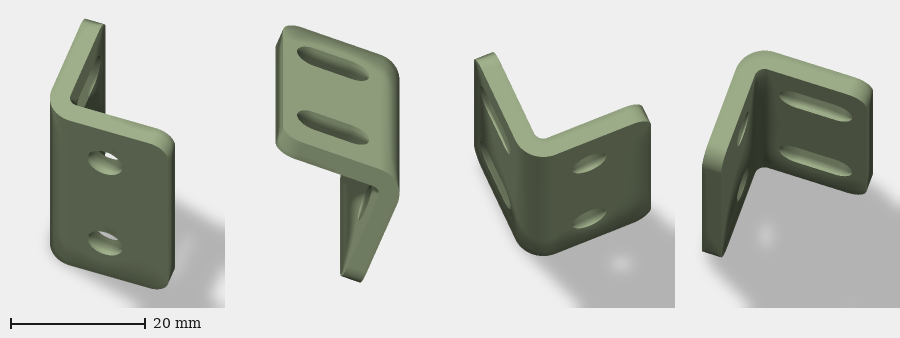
import cadquery as cq

leg_length = 20.0
height = 36.0
thickness = 3.0
inner_bend_radius = 1.5
outer_bend_radius = inner_bend_radius + thickness
corner_radius = 3.0

hole_diameter = 5.5
hole_x = leg_length / 2
slot_width = hole_diameter
slot_length = 11.5
slot_y = 12.0
opening_pitch = 20.0
opening_heights = [height / 2 - opening_pitch / 2, height / 2 + opening_pitch / 2]


def bent_plate():
    """L-shaped plate with a rounded bend along the Z axis."""
    plate = (
        cq.Workplane("XY")
        .moveTo(outer_bend_radius, 0)
        .lineTo(leg_length, 0)
        .lineTo(leg_length, thickness)
        .lineTo(outer_bend_radius, thickness)
        .radiusArc((thickness, outer_bend_radius), inner_bend_radius)
        .lineTo(thickness, leg_length)
        .lineTo(0, leg_length)
        .lineTo(0, outer_bend_radius)
        .radiusArc((outer_bend_radius, 0), -outer_bend_radius)
        .close()
        .extrude(height)
    )
    plate = plate.faces(">X").edges("|Y").fillet(corner_radius)
    return plate.faces(">Y").edges("|X").fillet(corner_radius)


def round_holes():
    """Cutters through the X leg, running along +Y."""
    centers = [(hole_x, z) for z in opening_heights]
    return (
        cq.Workplane("XZ")
        .pushPoints(centers)
        .circle(hole_diameter / 2)
        .extrude(-thickness)
    )


def slots():
    """Cutters through the Y leg, elongated along Y and running along +X."""
    centers = [(slot_y, z) for z in opening_heights]
    return (
        cq.Workplane("YZ")
        .pushPoints(centers)
        .slot2D(slot_length, slot_width)
        .extrude(thickness)
    )


result = bent_plate().cut(round_holes()).cut(slots())